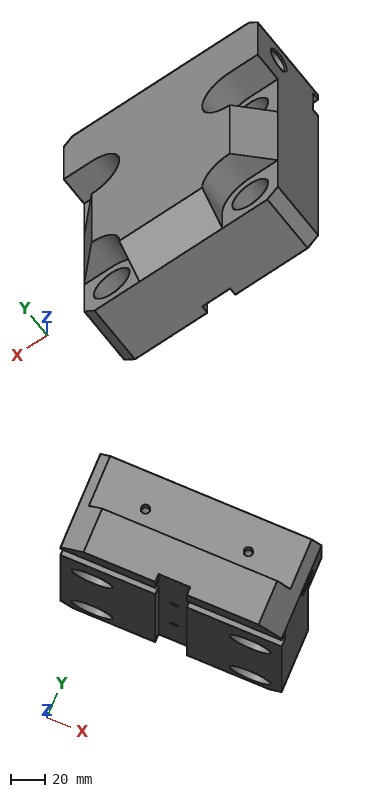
import cadquery as cq
import math

width = 140.0
depth = 60.0
height = 195.0
top_chamfer = 14.6
bottom_chamfer = 7.6

step_height = 8.4
step_start_y = 28.0

groove_width = 20.0
groove_depth = 5.0
cross_groove_z = height - 30.0

mount_diameter = 26.0
mount_pitch = 100.0
lower_mount_z = 20.0
upper_mount_z = lower_mount_z + mount_pitch
seat_radius = 20.0
seat_depth = 20.0

rear_bevel = seat_depth

bore_diameter = 14.0
bore_chamfer = 1.0
bore_y = 39.0
bore_z = cross_groove_z

drill_diameter = 5.5
drill_depth = 10.0
drill_tip_angle = 118.0
groove_drill_x = mount_pitch / 2
groove_drill_zs = (53.0, 117.0)
top_drill_x = 32.5


def make_block():
    """Block with its four front-outline corners cut and the rear top step removed."""
    block = cq.Workplane("XY").box(width, depth, height, centered=(True, False, False))
    block = block.edges("|Y and >Z").chamfer(top_chamfer)
    block = block.edges("|Y and <Z").chamfer(bottom_chamfer)
    step = cq.Workplane("XY").box(width, depth, step_height, centered=(True, False, False))
    return block.cut(step.translate((0, step_start_y, height - step_height)))


def make_grooves():
    """Full-height and full-width grooves that cross on the front face."""
    upright = cq.Workplane("XY").box(groove_width, groove_depth, height, centered=(True, False, False))
    across = cq.Workplane("XY").box(width, groove_depth, groove_width, centered=(True, False, True))
    return upright.union(across.translate((0, 0, cross_groove_z)))


def make_mount_cut(side, z):
    """Through hole and its round-ended rear seat, open towards the outer side."""
    x = side * mount_pitch / 2
    rear = cq.Workplane("XZ", origin=(x, depth, z))
    hole = rear.circle(mount_diameter / 2).extrude(depth)
    seat = rear.circle(seat_radius).extrude(seat_depth)
    opening = rear.center(side * seat_radius, 0).rect(2 * seat_radius, 2 * seat_radius).extrude(seat_depth)
    return hole.union(seat).union(opening)


def make_lower_relief(side):
    """Rear corner below the lower seat, removed down to the bottom face."""
    inner_x = mount_pitch / 2 - seat_radius
    relief_width = width / 2 - inner_x
    return cq.Workplane("XY").box(relief_width, seat_depth, lower_mount_z).translate(
        (side * (inner_x + relief_width / 2), depth - seat_depth / 2, lower_mount_z / 2)
    )


def make_side_bevel(side):
    """45 degree bevel of the rear vertical edge between the upper and lower seats."""
    edge_x = side * width / 2
    corners = [(edge_x, depth), (edge_x - side * rear_bevel, depth), (edge_x, depth - rear_bevel)]
    profile = cq.Workplane("XY").workplane(offset=lower_mount_z).polyline(corners).close()
    return profile.extrude(mount_pitch)


def make_bottom_bevel():
    """45 degree bevel of the rear bottom edge."""
    corners = [(depth, 0), (depth - rear_bevel, 0), (depth, rear_bevel)]
    return cq.Workplane("YZ").polyline(corners).close().extrude(width / 2, both=True)


def make_cross_bore():
    """Bore along X with a small countersink at each end."""
    half = width / 2
    radius = bore_diameter / 2
    mouth = radius + bore_chamfer
    profile = [
        (-half, 0), (-half, mouth), (-half + bore_chamfer, radius),
        (half - bore_chamfer, radius), (half, mouth), (half, 0),
    ]
    bore = cq.Workplane("XY").polyline(profile).close().revolve(360, (0, 0, 0), (1, 0, 0))
    return bore.translate((0, bore_y, bore_z))


def make_drill(start, direction):
    """Blind hole with a conical tip, starting on a face and running along direction."""
    radius = drill_diameter / 2
    tip_length = radius / math.tan(math.radians(drill_tip_angle / 2))
    axis = cq.Vector(*direction)
    mouth = cq.Vector(*start)
    barrel = cq.Solid.makeCylinder(radius, drill_depth, mouth, axis)
    tip = cq.Solid.makeCone(radius, 0, tip_length, mouth + axis * drill_depth, axis)
    return barrel.fuse(tip)


result = make_block().cut(make_grooves()).cut(make_bottom_bevel()).cut(make_cross_bore())

for side in (-1, 1):
    for mount_z in (lower_mount_z, upper_mount_z):
        result = result.cut(make_mount_cut(side, mount_z))
    result = result.cut(make_lower_relief(side)).cut(make_side_bevel(side))
    result = result.cut(make_drill((side * groove_drill_x, groove_depth, cross_groove_z), (0, 1, 0)))
    result = result.cut(make_drill((side * top_drill_x, bore_y, height - step_height), (0, 0, -1)))

for drill_z in groove_drill_zs:
    result = result.cut(make_drill((0, groove_depth, drill_z), (0, 1, 0)))